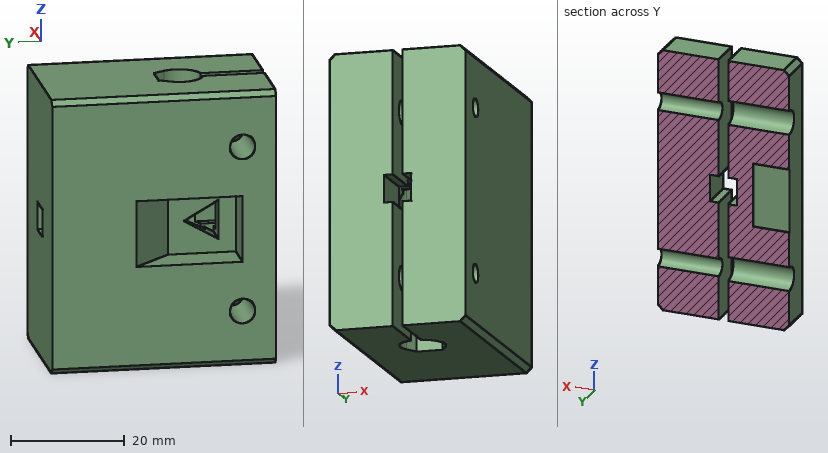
import cadquery as cq
import math

width, depth, height = 25.0, 40.0, 50.0
edge_chamfer = 1.0

bore_radius = 4.1
bore_center_y = 15.1
teardrop_angle = math.radians(30)
slot_width = 1.8

passage_size = 5.0

pocket_front_y = 6.0
pocket_length = 19.0
pocket_height = 12.0
pocket_depth = 6.85

window_front_y = 9.1
window_side = 7.1

screw_y = 6.0
screw_spacing = 30.0
clearance_diameter = 4.5
thread_diameter = 3.3

side_x = -width / 2


def make_block():
    block = cq.Workplane("XY").box(width, depth, height).translate((0, depth / 2, 0))
    return block.edges("|Y").chamfer(edge_chamfer)


def make_bore():
    tangent_x = bore_radius * math.cos(teardrop_angle)
    tangent_y = bore_center_y + bore_radius * math.sin(teardrop_angle)
    flat_y = bore_center_y + bore_radius
    apex_y = bore_center_y + bore_radius / math.sin(teardrop_angle)
    flat_half_width = (apex_y - flat_y) * math.tan(teardrop_angle)
    return (
        cq.Workplane("XY")
        .moveTo(-tangent_x, tangent_y)
        .threePointArc((0, bore_center_y - bore_radius), (tangent_x, tangent_y))
        .lineTo(flat_half_width, flat_y)
        .lineTo(-flat_half_width, flat_y)
        .close()
        .extrude(height / 2, both=True)
    )


def make_slot():
    return cq.Workplane("XY").box(slot_width, bore_center_y, height).translate((0, bore_center_y / 2, 0))


def make_passage():
    return cq.Workplane("XY").box(passage_size, depth, passage_size).translate((0, depth / 2, 0))


def make_pocket():
    floor_x = side_x + pocket_depth
    rear_y = pocket_front_y + pocket_length
    outline = [
        (side_x, pocket_front_y),
        (floor_x, pocket_front_y),
        (floor_x, rear_y - pocket_depth),
        (side_x, rear_y),
    ]
    return cq.Workplane("XY").polyline(outline).close().extrude(pocket_height / 2, both=True)


def make_window():
    apex_y = window_front_y + window_side * math.sqrt(3) / 2
    outline = [
        (window_front_y, -window_side / 2),
        (window_front_y, window_side / 2),
        (apex_y, 0),
    ]
    return cq.Workplane("YZ", origin=(side_x, 0, 0)).polyline(outline).close().extrude(width / 2)


def make_screw_hole(z):
    plane = cq.Workplane("YZ", origin=(side_x, screw_y, z))
    clearance = plane.circle(clearance_diameter / 2).extrude(width / 2)
    return plane.circle(thread_diameter / 2).extrude(width).union(clearance)


result = make_block()
for cutter in (make_bore(), make_slot(), make_passage(), make_pocket(), make_window()):
    result = result.cut(cutter)
for screw_z in (-screw_spacing / 2, screw_spacing / 2):
    result = result.cut(make_screw_hole(screw_z))